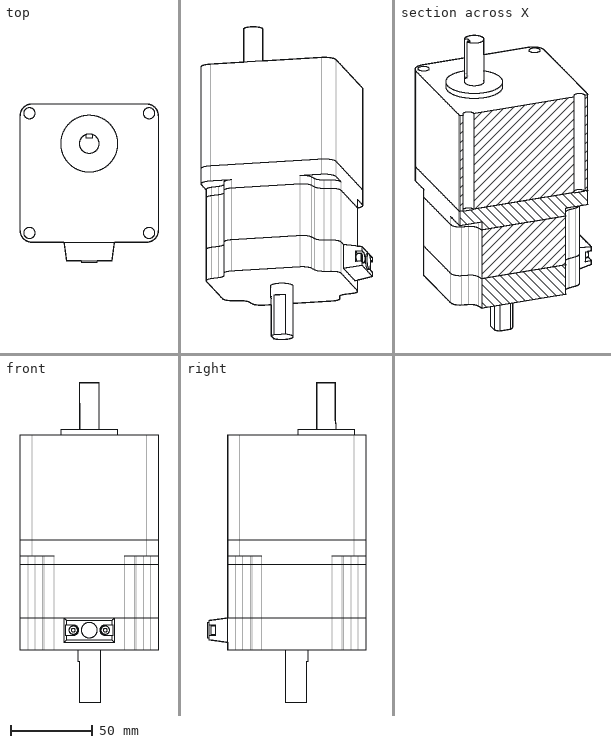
import cadquery as cq
import math


frame_width = 85.0
frame_half = frame_width / 2
frame_corner_radius = 7.5

rear_cap_top = 19.8
stator_top = 52.7
flange_bottom = 58.0
flange_top = 67.5
gearbox_top = 132.2
pilot_top = 135.5
output_shaft_top = 164.3

relief_width = 16.0
relief_depth = 13.2
relief_radius = 6.0

mount_hole_diameter = 6.9
mount_hole_spacing = 73.5

output_offset = 18.0
pilot_diameter = 35.0
output_shaft_diameter = 12.0
keyway_width = 4.0
keyway_depth = 2.5
keyway_length = 25.2

rear_shaft_diameter = 14.0
rear_shaft_length = 32.2
rear_flat_start = 7.0
rear_flat_depth = 1.0

connector_root_width = 31.0
connector_root_height = 15.1
connector_face_width = 28.0
connector_face_height = 12.0
connector_length = 11.4
connector_z = rear_cap_top - connector_root_height / 2
cable_diameter = 9.6
cable_length = 1.0
screw_offset = 9.8
screw_slot_width = 6.5
screw_slot_depth = 4.1
screw_diameter = 5.1
screw_height = 3.0
screw_socket_diameter = 2.4
screw_socket_depth = 1.2


def square_prism(bottom, top):
    """Square block with rounded vertical edges."""
    block = cq.Workplane("XY").workplane(offset=bottom).rect(frame_width, frame_width)
    return block.extrude(top - bottom).edges("|Z").fillet(frame_corner_radius)


def motor_prism(bottom, top):
    """Square block whose four corners are relieved by smoothly rounded notches."""
    notch_edge = frame_half - relief_width
    notch_root = frame_half - relief_depth
    corner = [(frame_half, notch_edge), (notch_root, notch_root), (notch_edge, frame_half)]
    outline = []
    for quarter in range(4):
        cosine = math.cos(quarter * math.pi / 2)
        sine = math.sin(quarter * math.pi / 2)
        outline += [(cosine * x - sine * y, sine * x + cosine * y) for x, y in corner]
    block = cq.Workplane("XY").workplane(offset=bottom).polyline(outline).close()
    return block.extrude(top - bottom).edges("|Z").fillet(relief_radius)


def cylinder(diameter, bottom, top, y=0):
    """Upright cylinder on the X = 0 plane."""
    base = cq.Workplane("XY").workplane(offset=bottom).center(0, y)
    return base.circle(diameter / 2).extrude(top - bottom)


def keyway_cutter():
    """Open-topped keyway with a round lower end, cut into the +Y side of the output shaft."""
    shaft_back = output_offset + output_shaft_diameter / 2
    round_end_z = output_shaft_top - keyway_length + keyway_width / 2
    back_plane = cq.Workplane("XZ", origin=(0, shaft_back, 0))
    straight = (
        back_plane.center(0, (round_end_z + output_shaft_top) / 2)
        .rect(keyway_width, output_shaft_top - round_end_z)
        .extrude(keyway_depth)
    )
    round_end = back_plane.center(0, round_end_z).circle(keyway_width / 2).extrude(keyway_depth)
    return straight.union(round_end)


def make_gearbox():
    """Gear housing with its pilot, output shaft and four mounting holes."""
    mount_holes = (
        cq.Workplane("XY")
        .workplane(offset=flange_top)
        .rect(mount_hole_spacing, mount_hole_spacing, forConstruction=True)
        .vertices()
        .circle(mount_hole_diameter / 2)
        .extrude(gearbox_top - flange_top)
    )
    output_shaft = cylinder(output_shaft_diameter, pilot_top, output_shaft_top, output_offset)
    return (
        square_prism(flange_top, gearbox_top)
        .cut(mount_holes)
        .union(cylinder(pilot_diameter, gearbox_top, pilot_top, output_offset))
        .union(output_shaft.cut(keyway_cutter()))
    )


def make_flange():
    """Square adapter flange whose lower rim follows the motor profile."""
    return square_prism(flange_bottom, flange_top).union(motor_prism(stator_top, flange_bottom))


def make_stator():
    """Middle section of the motor."""
    return motor_prism(rear_cap_top, stator_top)


def make_connector():
    """Tapered connector with a cable stub and two screws in slots open to the sides."""
    root_plane = cq.Workplane("XZ", origin=(0, -frame_half, connector_z))
    face_plane = root_plane.workplane(offset=connector_length)
    slot_floor = root_plane.workplane(offset=connector_length - screw_slot_depth)
    connector = (
        root_plane.rect(connector_root_width, connector_root_height)
        .workplane(offset=connector_length)
        .rect(connector_face_width, connector_face_height)
        .loft()
    )
    connector = connector.union(face_plane.circle(cable_diameter / 2).extrude(cable_length))
    slot_length = connector_root_width / 2 - screw_offset
    for side in (-1, 1):
        screw_x = side * screw_offset
        slot_end = slot_floor.center(screw_x, 0).circle(screw_slot_width / 2).extrude(screw_slot_depth)
        slot_run = (
            slot_floor.center(screw_x + side * slot_length / 2, 0)
            .rect(slot_length, screw_slot_width)
            .extrude(screw_slot_depth)
        )
        screw = slot_floor.center(screw_x, 0).circle(screw_diameter / 2).extrude(screw_height)
        socket = (
            slot_floor.workplane(offset=screw_height - screw_socket_depth)
            .center(screw_x, 0)
            .circle(screw_socket_diameter / 2)
            .extrude(screw_socket_depth)
        )
        connector = connector.cut(slot_end.union(slot_run)).union(screw.cut(socket))
    return connector


def make_rear_cap(rear_shaft):
    """Rear end cap with its connector and a bore for the rear shaft."""
    return motor_prism(0, rear_cap_top).union(make_connector()).cut(rear_shaft)


def make_rear_shaft():
    """Rear shaft seated through the cap, with flats on its -X and +Y sides."""
    flat_length = rear_shaft_length - rear_flat_start
    flat_block = cq.Workplane("XY").box(
        rear_shaft_diameter, rear_shaft_diameter, flat_length, centered=(True, True, False)
    )
    flat_shift = rear_shaft_diameter - rear_flat_depth
    shaft = cylinder(rear_shaft_diameter, -rear_shaft_length, rear_cap_top)
    for x, y in [(-flat_shift, 0), (0, flat_shift)]:
        shaft = shaft.cut(flat_block.translate((x, y, -rear_shaft_length)))
    return shaft


gearbox = make_gearbox()
flange = make_flange()
stator = make_stator()
rear_shaft = make_rear_shaft()
rear_cap = make_rear_cap(rear_shaft)

result = cq.Compound.makeCompound(
    [gearbox.val(), flange.val(), stator.val(), rear_cap.val(), rear_shaft.val()]
)